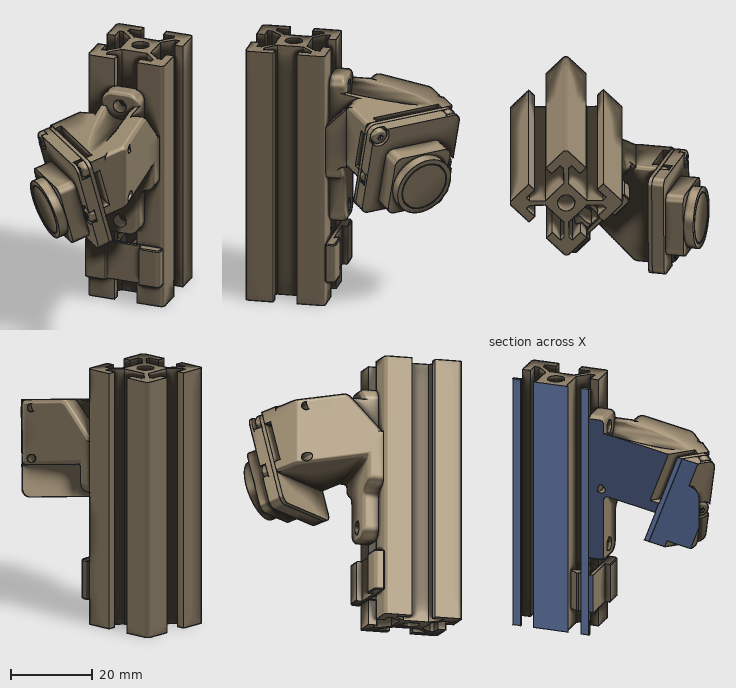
import cadquery as cq
import math

rail_length = 65.0
rail_half = 10.0
rail_corner_radius = 1.0
rail_bore = 4.2
slot_half_opening = 3.0
lip_thickness = 2.1
chamber_half_width = 5.9
chamber_side_depth = 3.2
core_half = 4.0
core_flat_half = 3.25

yaw = math.radians(45.0)
pitch = math.radians(15.0)
face_center = (-7.1, -31.1, 37.7)

board_width = 25.0
board_height = 24.0
board_corner_radius = 2.0
board_thickness = 1.0
cover_thickness = 3.0
hole_edge_distance = 2.0
hole_row_spacing = 12.5
screw_clearance = 2.2
screw_shank = 2.0
screw_head = 4.0
screw_head_height = 1.6
screw_dome = 0.9
screw_socket = 1.5
screw_socket_depth = 0.8
screw_thread_depth = 5.0
screw_hole_depth = 11.4
screw_recess = 5.0
cover_seat_depth = 1.5
cover_skin = 0.7

housing_size = 16.0
housing_height = 4.55
housing_corner_radius = 2.0
lens_diameter = 15.3
lens_height = 6.95
lens_offset = -2.35
glass_diameter = 12.4
glass_bore = 12.8
glass_thickness = 1.0

tab_half_width = 5.0
tab_bottom = 19.9
tab_top = 57.85
tab_thickness = 3.95
tab_corner_radius = 3.0
edge_fillet = 1.0
shoulder_fillet = 2.0
mount_hole = 3.4
mount_hole_inset = 3.5
head_half_width = 9.0
head_floor = -4.0
flare_bottom = 29.95
flare_top = 35.0
shoulder_start = 46.15
rib_top = 54.85
driver_groove = 6.95
groove_fillet = 0.65
root_fillet = 1.0
cavity_depth = 1.7
cavity_half_width = 9.4
cavity_low = -1.3
cavity_high = 8.85

clip_bottom = 6.05
clip_height = 10.0
clip_half_width = 9.95
clip_thickness = 2.6
clip_web_thickness = 1.2
clip_window_half = 4.5
clip_outer_radius = 1.05
clip_back_chamfer = 0.3
clip_end_chamfer = 0.25
leg_inner = 1.75
leg_outer = 2.6
leg_root_inner = 1.35
leg_root_height = 1.25
leg_reach = 5.1
hook_outer = 3.85
hook_low = 2.7
hook_high = 3.2
hook_root = 1.95

rail_face = -rail_half
tab_face = rail_face - tab_thickness
upper_hole_z = tab_top - mount_hole_inset
lower_hole_z = tab_bottom + mount_hole_inset

camera_normal = (
    -math.cos(pitch) * math.sin(yaw),
    -math.cos(pitch) * math.cos(yaw),
    -math.sin(pitch),
)
camera_right = (math.cos(yaw), -math.sin(yaw), 0.0)
camera_plane = cq.Plane(origin=face_center, xDir=camera_right, normal=camera_normal)
camera_up = camera_plane.yDir
along_camera = cq.ParallelDirSelector(cq.Vector(*camera_normal))

board_front = -cover_thickness
board_back = board_front - board_thickness
hole_u = board_width / 2 - hole_edge_distance
upper_hole_v = board_height / 2 - hole_edge_distance
lower_hole_v = upper_hole_v - hole_row_spacing
cover_screw_points = [(-hole_u, upper_hole_v), (hole_u, lower_hole_v)]
board_screw_points = [(hole_u, upper_hole_v), (-hole_u, lower_hole_v)]
lens_center = (0.0, lens_offset)

head_left_y = face_center[1] + board_width / math.sqrt(2) - head_half_width - face_center[0]
head_right_y = face_center[1] - board_width / math.sqrt(2) + head_half_width - face_center[0]

far = 6 * rail_half


def camera_at(depth):
    """Workplane parallel to the cover face, moved along the camera direction."""
    return cq.Workplane(camera_plane).workplane(offset=depth)


def camera_box(u_low, u_high, v_low, v_high, back, front):
    """Block aligned with the camera, given by its limits across, up and along the camera axis."""
    center = ((u_low + u_high) / 2, (v_low + v_high) / 2)
    return camera_at(back).center(*center).rect(u_high - u_low, v_high - v_low).extrude(front - back)


def camera_cylinders(points, diameter, back, front):
    """Cylinders along the camera axis at the given points."""
    return camera_at(back).pushPoints(points).circle(diameter / 2).extrude(front - back)


def make_rail():
    rail = cq.Workplane("XY").rect(2 * rail_half, 2 * rail_half).extrude(rail_length)
    rail = rail.edges("|Z").fillet(rail_corner_radius)
    rail = rail.cut(cq.Workplane("XY").circle(rail_bore / 2).extrude(rail_length))
    lip_inner = rail_half - lip_thickness
    chamber_corner = rail_half - chamber_side_depth
    slot = (
        cq.Workplane("XY")
        .moveTo(rail_half, -slot_half_opening)
        .lineTo(lip_inner, -slot_half_opening)
        .lineTo(lip_inner, -chamber_half_width)
        .lineTo(chamber_corner, -chamber_half_width)
        .lineTo(core_half, -core_flat_half)
        .lineTo(core_half, core_flat_half)
        .lineTo(chamber_corner, chamber_half_width)
        .lineTo(lip_inner, chamber_half_width)
        .lineTo(lip_inner, slot_half_opening)
        .lineTo(rail_half, slot_half_opening)
        .close()
        .extrude(rail_length)
    )
    for quarter in range(4):
        rail = rail.cut(slot.rotate((0, 0, 0), (0, 0, 1), 90 * quarter))
    return rail


def make_clip():
    clip_face = rail_face - clip_thickness
    cover = (
        cq.Workplane("XY")
        .workplane(offset=clip_bottom)
        .center(0, rail_face - clip_thickness / 2)
        .rect(2 * clip_half_width, clip_thickness)
        .extrude(clip_height)
    )
    cover = cover.edges("|Z and <Y").fillet(clip_outer_radius)
    cover = cover.edges("|Z and >Y").chamfer(clip_back_chamfer)
    cover = cover.faces("<Z or >Z").edges().chamfer(clip_end_chamfer)
    window_depth = clip_thickness - clip_web_thickness
    window = (
        cq.Workplane("XY")
        .center(0, clip_face + window_depth / 2)
        .rect(2 * clip_window_half, window_depth)
        .extrude(rail_length)
    )
    cover = cover.cut(window)
    leg = (
        cq.Workplane("XY")
        .workplane(offset=clip_bottom)
        .moveTo(leg_root_inner, rail_face)
        .lineTo(leg_outer, rail_face)
        .lineTo(leg_outer, rail_face + hook_root)
        .lineTo(hook_outer, rail_face + hook_low)
        .lineTo(hook_outer, rail_face + hook_high)
        .lineTo(leg_outer, rail_face + leg_reach)
        .lineTo(leg_inner, rail_face + leg_reach)
        .lineTo(leg_inner, rail_face + leg_root_height)
        .close()
        .extrude(clip_height)
    )
    return cover.union(leg).union(leg.mirror("YZ"))


def make_base():
    """Mounting tab with rounded ends that flares out to the width of the camera head."""
    tab = (
        cq.Workplane("XZ", origin=(0, rail_face, (tab_top + tab_bottom) / 2))
        .rect(2 * tab_half_width, tab_top - tab_bottom)
        .extrude(tab_thickness)
        .edges("|Y")
        .fillet(tab_corner_radius)
    )
    flare_middle = ((tab_half_width + head_half_width) / 2, (flare_bottom + flare_top) / 2)
    flare = (
        cq.Workplane("XZ", origin=(0, rail_face, 0))
        .moveTo(0, shoulder_start)
        .lineTo(head_half_width, shoulder_start)
        .lineTo(head_half_width, flare_top)
        .tangentArcPoint(flare_middle, relative=False)
        .tangentArcPoint((tab_half_width, flare_bottom), relative=False)
        .lineTo(0, flare_bottom)
        .close()
        .extrude(tab_thickness)
    )
    flare = flare.union(flare.mirror("YZ"))
    return tab.union(flare).faces("<Y").edges().fillet(edge_fillet)


def make_head_column():
    """Upright column with the plan of the camera head, left long toward the camera."""
    return (
        cq.Workplane("XY")
        .moveTo(-head_half_width, rail_face)
        .lineTo(head_half_width, rail_face)
        .lineTo(head_half_width, head_right_y)
        .lineTo(head_half_width - 2 * far, head_right_y - 2 * far)
        .lineTo(-head_half_width - 2 * far, head_left_y - 2 * far)
        .lineTo(-head_half_width, head_left_y)
        .close()
        .extrude(rail_length)
    )


def cut_driver_groove(body):
    """Trough that gives a screwdriver straight access to the upper mounting hole."""
    groove = (
        cq.Workplane("XZ", origin=(0, tab_face, upper_hole_z))
        .circle(driver_groove / 2)
        .extrude(2 * far)
    )
    body = body.cut(groove)
    rim_zone = cq.selectors.BoxSelector(
        (-driver_groove / 2 - 0.05, -far, upper_hole_z - driver_groove / 2),
        (driver_groove / 2 + 0.05, tab_face - 0.05, tab_top),
    )
    return body.edges(rim_zone).fillet(groove_fillet)


def make_tilted_slab():
    """Tilted slab behind the board, cut by a 45 degree shoulder whose ridge is rounded."""
    slab = camera_box(-far, far, head_floor, board_height / 2, board_back - far, board_back)
    shoulder = (
        cq.Workplane("YZ")
        .moveTo(rail_face, 0)
        .lineTo(rail_face, shoulder_start)
        .lineTo(rail_face - far, shoulder_start + far)
        .lineTo(rail_face - far, 0)
        .close()
        .extrude(far, both=True)
    )
    sloped = slab.intersect(shoulder)
    slope = sloped.faces(cq.DirectionMinMaxSelector(cq.Vector(0, 1, 1), True))
    ridge = slope.edges(cq.DirectionMinMaxSelector(cq.Vector(0, -1, 1), True))
    return ridge.fillet(shoulder_fillet), slab


def make_head():
    """Tilted block behind the board, rounded along its left, right and lower edges."""
    sloped, slab = make_tilted_slab()
    column = make_head_column()
    left_limit = camera_box(
        -board_width / 2, far, head_floor, board_height / 2, board_back - far, board_back
    )
    left_side = left_limit.faces(cq.DirectionMinMaxSelector(cq.Vector(*camera_right), False))
    left_limit = left_side.edges(along_camera).fillet(edge_fillet)
    head = sloped.intersect(column)
    shoulder_block = head.intersect(
        cq.Workplane("XZ", origin=(0, head_left_y, 0)).rect(2 * far, 2 * far).extrude(-far)
    )
    head = head.intersect(left_limit).union(shoulder_block)
    head = head.edges("|Z and >X").edges("<Y").fillet(shoulder_fillet)
    for upper in (True, False):
        head = head.faces(cq.DirectionMinMaxSelector(camera_up, upper)).edges(">X").fillet(edge_fillet)
    rib = (
        cq.Workplane("XY")
        .center(0, rail_face - far / 2)
        .rect(2 * tab_half_width, far)
        .extrude(rib_top)
        .intersect(slab)
        .intersect(column)
    )
    return cut_driver_groove(head.union(rib))


def cut_cavity(body):
    """Cross-shaped slot that clears the parts on the back of the board."""
    back = board_back - cavity_depth
    upright = camera_box(-cavity_half_width, cavity_half_width, cavity_low, far, back, board_back)
    sideways = camera_box(-far, far, cavity_low, cavity_high, back, board_back)
    return body.cut(upright).cut(sideways)


def make_bracket():
    bracket = make_base().union(make_head())
    arm_root = cq.selectors.BoxSelector(
        (-head_half_width / 2, tab_face - 0.05, flare_top),
        (head_half_width / 2, tab_face + 0.05, shoulder_start),
    )
    bracket = bracket.edges(arm_root).fillet(root_fillet)
    bracket = cut_cavity(bracket)
    for hole_z in (upper_hole_z, lower_hole_z):
        hole = cq.Workplane("XZ", origin=(0, rail_face, hole_z)).circle(mount_hole / 2).extrude(tab_thickness)
        bracket = bracket.cut(hole)
    screw_points = cover_screw_points + board_screw_points
    return bracket.cut(camera_cylinders(screw_points, screw_shank, board_back - screw_hole_depth, board_back))


def make_board():
    board = camera_at(board_back).rect(board_width, board_height).extrude(board_thickness)
    board = board.edges(along_camera).fillet(board_corner_radius)
    holes = camera_cylinders(cover_screw_points + board_screw_points, screw_clearance, board_back, board_front)
    return board.cut(holes)


def make_cover():
    cover = camera_at(board_front).rect(board_width, board_height).extrude(cover_thickness)
    cover = cover.edges(along_camera).fillet(board_corner_radius)
    housing = camera_at(0).center(*lens_center).rect(housing_size, housing_size).extrude(housing_height)
    housing = housing.edges(along_camera).fillet(housing_corner_radius)
    lens_ring = camera_cylinders([lens_center], lens_diameter, 0, lens_height)
    cover = cover.union(housing).union(lens_ring)
    glass_seat = lens_height - glass_thickness
    cover = cover.cut(camera_cylinders([lens_center], glass_bore, glass_seat, lens_height))
    cover = cover.cut(camera_cylinders(cover_screw_points, screw_recess, -cover_seat_depth, lens_height))
    cover = cover.cut(camera_cylinders(cover_screw_points, screw_clearance, board_front, 0))
    cover = cover.cut(camera_cylinders(board_screw_points, screw_recess, board_front, -cover_skin))
    return cover


def make_glass():
    return camera_cylinders([lens_center], glass_diameter, lens_height - glass_thickness, lens_height)


def make_screw(point, seat):
    """Domed-head screw with a hexagon socket; its head rests at the given depth."""
    head_top = seat + screw_head_height
    head = camera_cylinders([point], screw_head, seat, head_top)
    head = head.faces(cq.DirectionMinMaxSelector(cq.Vector(*camera_normal), True)).edges().fillet(screw_dome)
    tip = board_back - screw_thread_depth
    shank = camera_cylinders([point], screw_shank, tip, seat)
    socket = (
        camera_at(head_top - screw_socket_depth)
        .center(*point)
        .polygon(6, screw_socket)
        .extrude(screw_socket_depth)
    )
    return head.union(shank).cut(socket)


cover_screws = [make_screw(point, -cover_seat_depth) for point in cover_screw_points]
board_screws = [make_screw(point, board_front) for point in board_screw_points]
rail = make_rail()
clip = make_clip()
bracket = make_bracket()
board = make_board()
cover = make_cover()
glass = make_glass()

result = cq.Compound.makeCompound(
    [
        rail.val(),
        clip.val(),
        bracket.val(),
        board.val(),
        cover.val(),
        glass.val(),
        *[screw.val() for screw in cover_screws],
        *[screw.val() for screw in board_screws],
    ]
)